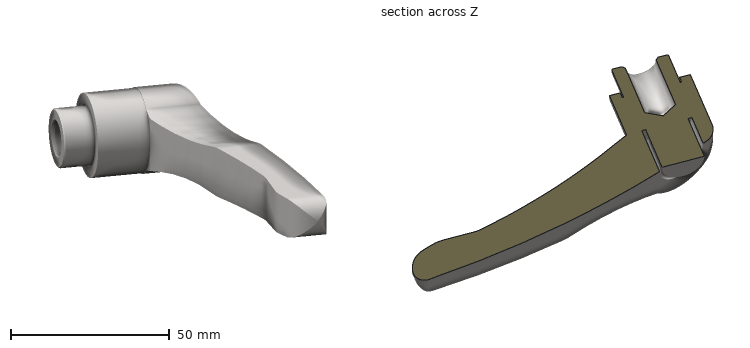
import cadquery as cq
import math


hub_radius = 27.0 / 2
hub_bottom = 9.9
hub_top = 26.8
head_radius = 27.46 / 2
head_bore_radius = 16.5 / 2
head_corner_radius = 6.4

insert_radius = 19.0 / 2
insert_chamfer = 0.4
insert_clearance_radius = 19.6 / 2
insert_clearance_depth = 2.0
pin_radius = 14.2 / 2
pin_top = 42.9

thread_radius = 10.11 / 2
thread_mouth_radius = 12.0 / 2
thread_depth = 20.0
drill_tip_angle = 118.0

part_length = 108.48
part_height = 62.67
tip_x = part_length - hub_radius
tip_start_x = 88.7
back_head = (-hub_radius, 35.6)
back_middle = (41.2, 54.2)
back_end = (tip_start_x, 62.3)
tip_corner_radius = 3.75
tip_belly = (92.9, 53.4)
belly_end = (tip_start_x, 50.5)
pad_y = 48.7
pad_start = (70.2, pad_y)
pad_start_blend_radius = 10.0
pad_end = (83.5, pad_y)
pad_end_blend_radius = 12.5
belly_middle = (42.5, 40.2)
belly_start = (17.65, 28.9)

waist_start_x = 9.15
waist = (28.6, 6.65)
grip_start = (42.5, 8.2)
grip_blend_radius = 11.0
grip_end = (tip_start_x, 6.5)


def cylinder(radius, y_from, y_to):
    """Solid cylinder on the hub axis between two heights."""
    return cq.Workplane("XZ", origin=(0, y_from, 0)).circle(radius).extrude(y_from - y_to)


def round_edge_near(solid, point, radius):
    """Fillet the one edge whose midpoint lies nearest to a point."""
    return solid.edges(cq.selectors.NearestToPointSelector(point)).fillet(radius)


def lever_profile():
    """Side shape of the lever, extruded across the full head width."""
    corner_inset = tip_corner_radius * (1 - math.cos(math.radians(45)))
    corner_middle = (tip_x - corner_inset, part_height - corner_inset)
    corner_end = (tip_x, part_height - tip_corner_radius)
    profile = (
        cq.Workplane("XY", origin=(0, 0, -head_radius))
        .moveTo(-hub_radius, hub_top)
        .lineTo(*back_head)
        .threePointArc(back_middle, back_end)
        .lineTo(tip_x - tip_corner_radius, part_height)
        .threePointArc(corner_middle, corner_end)
        .threePointArc(tip_belly, belly_end)
        .lineTo(*pad_end)
        .lineTo(*pad_start)
        .threePointArc(belly_middle, belly_start)
        .lineTo(hub_radius, hub_top)
        .close()
        .extrude(2 * head_radius)
    )
    corners = (
        (back_head, head_corner_radius),
        (pad_start, pad_start_blend_radius),
        (pad_end, pad_end_blend_radius),
    )
    for (x, y), radius in corners:
        profile = round_edge_near(profile, (x, y, 0), radius)
    return profile


def lever_plan():
    """Head disc and waisted handle outline, extruded through the part height."""
    def mirrored(point):
        return (point[0], -point[1])

    waist_start = (waist_start_x, math.sqrt(head_radius**2 - waist_start_x**2))
    outline = (
        cq.Workplane("XZ")
        .moveTo(*waist_start)
        .threePointArc(waist, grip_start)
        .lineTo(*grip_end)
        .threePointArc((tip_x, 0), mirrored(grip_end))
        .lineTo(*mirrored(grip_start))
        .threePointArc(mirrored(waist), mirrored(waist_start))
        .threePointArc((-head_radius, 0), waist_start)
        .close()
    )
    plan = outline.extrude(-part_height)
    for x, z in (grip_start, mirrored(grip_start)):
        plan = round_edge_near(plan, (x, part_height / 2, z), grip_blend_radius)
    return plan


def thread_hole():
    """Blind hole with a 45 degree mouth chamfer and a drill-point end."""
    mouth_chamfer = thread_mouth_radius - thread_radius
    drill_tip = thread_radius / math.tan(math.radians(drill_tip_angle / 2))
    return (
        cq.Workplane("XY")
        .lineTo(thread_mouth_radius, 0)
        .lineTo(thread_radius, mouth_chamfer)
        .lineTo(thread_radius, thread_depth)
        .lineTo(0, thread_depth + drill_tip)
        .close()
        .revolve(360, (0, 0, 0), (0, 1, 0))
    )


lever = lever_profile().intersect(lever_plan())
lever = lever.cut(cylinder(head_bore_radius, hub_top, part_height))

hub = cylinder(hub_radius, hub_bottom, hub_top)
hub = hub.cut(cylinder(insert_clearance_radius, hub_bottom, hub_bottom + insert_clearance_depth))

insert = cylinder(insert_radius, 0, hub_top).faces("<Y").chamfer(insert_chamfer)
pin = cylinder(pin_radius, hub_top, pin_top)

result = lever.union(hub).union(insert).union(pin).cut(thread_hole())